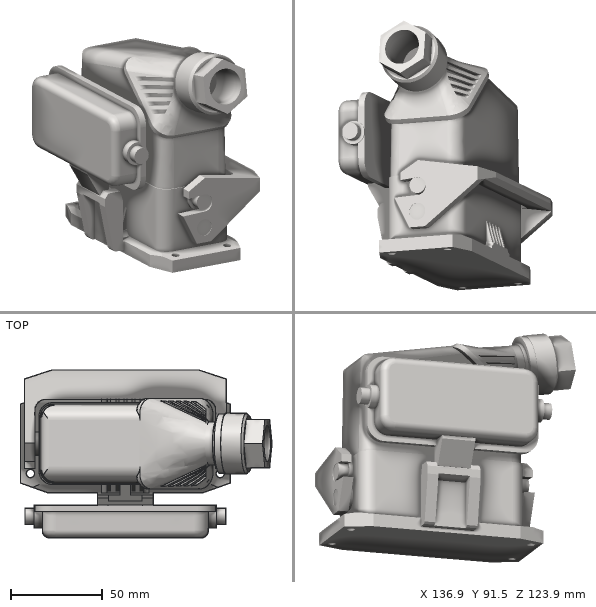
import cadquery as cq
import math


def side_prism(points, half_width):
    """Prism across X with an outline given as (Y, Z) points."""
    return cq.Workplane("YZ").polyline(points).close().extrude(half_width, both=True)


def front_prism(points, half_width):
    """Prism along Y with an outline given as (X, Z) points."""
    return cq.Workplane("XZ").polyline(points).close().extrude(half_width, both=True)


def box(x_range, y_range, z_range):
    (x0, x1), (y0, y1), (z0, z1) = x_range, y_range, z_range
    return cq.Workplane("XY").box(x1 - x0, y1 - y0, z1 - z0, centered=False).translate((x0, y0, z0))


def pin_across(radius, y, z, half_length):
    """Cylinder along X, centred on X = 0."""
    return cq.Workplane("YZ").center(y, z).circle(radius).extrude(half_length, both=True)


base_half_x = 57.1
base_half_y = 26.8
base_long_edge_half = 42.0
base_short_edge_half = 21.5
base_edge_z = 7.0
base_deck_z = 8.4
screw_x = 51.6
screw_y = 16.3
screw_radius = 2.2

housing_half_x = 47.0
housing_half_y = 22.3
housing_top_z = 44.1
corner_radius = 7.5


def base_plate():
    outline = [(base_half_x, base_short_edge_half), (base_long_edge_half, base_half_y)]
    outline += [(-x, y) for x, y in reversed(outline)]
    outline += [(-x, -y) for x, y in outline]
    plate = cq.Workplane("XY").polyline(outline).close().extrude(base_deck_z)

    def deck_profile(edge, shoulder):
        return [(-edge, 0), (edge, 0), (edge, base_edge_z), (shoulder, base_deck_z),
                (-shoulder, base_deck_z), (-edge, base_edge_z)]

    plate = plate.intersect(side_prism(deck_profile(base_half_y, housing_half_y), base_half_x))
    plate = plate.intersect(front_prism(deck_profile(base_half_x, housing_half_x), base_half_y))
    screws = [(sx * screw_x, sy * screw_y) for sx in (-1, 1) for sy in (-1, 1)]
    return plate.cut(cq.Workplane("XY").pushPoints(screws).circle(screw_radius).extrude(base_deck_z))


def housing():
    block = cq.Workplane("XY").rect(2 * housing_half_x, 2 * housing_half_y).extrude(housing_top_z)
    return block.edges("|Z").fillet(corner_radius)


pad_half_x = 13.0
pad_flare = 3.2
pad_edge_z = 10.7
pad_inner_z = 11.6
rib_count = 5
rib_pitch = 4.4
rib_thickness = 1.6
rib_foot_y = 25.9
rib_top_z = 23.8


def ribbed_pads():
    flat_half = pad_half_x - pad_flare
    flare_z = pad_inner_z - pad_flare
    hollow = pad_flare * (1 - math.sqrt(0.5))
    flared = (
        cq.Workplane("XZ").moveTo(-pad_half_x, 0).lineTo(-pad_half_x, flare_z)
        .threePointArc((-flat_half - hollow, flare_z + hollow), (-flat_half, pad_inner_z))
        .lineTo(flat_half, pad_inner_z)
        .threePointArc((flat_half + hollow, flare_z + hollow), (pad_half_x, flare_z))
        .lineTo(pad_half_x, 0).close().extrude(base_half_y, both=True)
    )
    roof = [(-base_half_y, 0), (base_half_y, 0), (base_half_y, pad_edge_z), (housing_half_y, pad_inner_z),
            (-housing_half_y, pad_inner_z), (-base_half_y, pad_edge_z)]
    pads = flared.intersect(side_prism(roof, pad_half_x))
    rib_outline = [(-rib_foot_y, base_edge_z), (rib_foot_y, base_edge_z), (rib_foot_y, pad_edge_z),
                   (housing_half_y, rib_top_z), (-housing_half_y, rib_top_z), (-rib_foot_y, pad_edge_z)]
    for i in range(rib_count):
        rib_x = (i - (rib_count - 1) / 2) * rib_pitch
        pads = pads.union(side_prism(rib_outline, rib_thickness / 2).translate((rib_x, 0, 0)))
    return pads


hood_half_x = 46.4
hood_half_y = 21.6
hood_draft = 1.0
cable_tilt = 10.0
roof_start_x = -41.1
roof_start_z = 100.4
roof_side_radius = 8.1
roof_end_radius = 4.9

flange_tilt = 40.5
flange_top_x = 8.0
flange_end_x = 47.8
flange_half_y = 24.7
flange_thickness = 2.9
flange_top_radius = 8.0
flange_foot_radius = 9.6

tilt_cos = math.cos(math.radians(cable_tilt))
tilt_sin = math.sin(math.radians(cable_tilt))
slant_cos = math.cos(math.radians(flange_tilt))
slant_sin = math.sin(math.radians(flange_tilt))
flange_top_z = roof_start_z + (flange_top_x - roof_start_x) * tilt_sin / tilt_cos
flange_end_z = flange_top_z - (flange_end_x - flange_top_x) * slant_sin / slant_cos
flange_length = (flange_end_x - flange_top_x) / slant_cos
flange_plane = cq.Plane(
    origin=((flange_top_x + flange_end_x) / 2, 0, (flange_top_z + flange_end_z) / 2),
    xDir=(slant_cos, 0, -slant_sin), normal=(slant_sin, 0, slant_cos))


def hood():
    draft = math.tan(math.radians(hood_draft))
    height = flange_top_z - housing_top_z
    plan = (
        cq.Workplane("XY").workplane(offset=housing_top_z)
        .sketch().rect(2 * hood_half_x, 2 * hood_half_y).vertices().fillet(corner_radius).finalize()
        .extrude(height, taper=hood_draft)
    )
    end_top_x = draft * (roof_start_z - housing_top_z) - hood_half_x
    end_top_z = roof_start_z + (end_top_x - roof_start_x) * tilt_sin / tilt_cos
    elevation = front_prism(
        [(-hood_half_x, housing_top_z), (end_top_x, end_top_z), (flange_top_x, flange_top_z),
         (flange_end_x, flange_end_z), (flange_end_x, housing_top_z)], hood_half_y)
    elevation = elevation.edges(cq.selectors.NearestToPointSelector((end_top_x, 0, end_top_z)))
    elevation = elevation.fillet(roof_end_radius)

    roof_half_y = hood_half_y - draft * (roof_start_z - housing_top_z)
    roof_plane = cq.Plane(
        origin=(roof_start_x, 0, roof_start_z), xDir=(0, 1, 0), normal=(tilt_cos, 0, tilt_sin))
    depth = 2 * height
    foot_half_y = roof_half_y + draft * depth
    section = (
        cq.Workplane(roof_plane)
        .polyline([(-roof_half_y, 0), (roof_half_y, 0), (foot_half_y, -depth), (-foot_half_y, -depth)])
        .close()
        .extrude(2 * hood_half_x, both=True)
    )
    lengthwise = cq.selectors.ParallelDirSelector(roof_plane.zDir)
    section = section.edges(lengthwise).edges(">Z").fillet(roof_side_radius)
    return plan.intersect(elevation).intersect(section)


entry_x = 77.2
entry_z = 108.9
hex_corner_radius = 15.2
hex_length = 10.3
nut_radius = 16.6
nut_rim_radius = 16.2
nut_rim_start = 22.9
nut_end = 26.5
nut_chamfer = 1.4
collar_radius = 12.6
collar_end = 28.1
neck_radius = 11.8
neck_end = 32.2
bore_radius = 9.9
bore_depth = nut_end


def entry_plane(distance):
    return cq.Plane(origin=(entry_x - distance * tilt_cos, 0, entry_z - distance * tilt_sin),
                    xDir=(tilt_sin, 0, -tilt_cos), normal=(tilt_cos, 0, tilt_sin))


def cable_gland():
    hexagon = cq.Workplane(entry_plane(0)).polygon(6, 2 * hex_corner_radius).extrude(-hex_length)
    nut = cq.Workplane(entry_plane(nut_rim_start)).circle(nut_radius).extrude(nut_rim_start - hex_length)
    nut = nut.faces(cq.selectors.DirectionMinMaxSelector(cq.Vector(tilt_cos, 0, tilt_sin)))
    nut = nut.chamfer(nut_chamfer)
    nut_rim = cq.Workplane(entry_plane(nut_end)).circle(nut_rim_radius).extrude(nut_end - nut_rim_start)
    collar = cq.Workplane(entry_plane(collar_end)).circle(collar_radius).extrude(collar_end - nut_end)
    neck = cq.Workplane(entry_plane(neck_end)).circle(neck_radius).extrude(neck_end - nut_end)
    bore = cq.Workplane(entry_plane(0)).circle(bore_radius).extrude(-bore_depth)
    return hexagon.union(nut).union(nut_rim).union(collar).union(neck).cut(bore)


neck_bottom_angle = 45
neck_side_start = 60
neck_side_end = 105
neck_top_angle = 118
core_neck_radius = 10.0
pocket_depth = 4.1
pocket_end_x = 44.0
pocket_margin = 2.2
pocket_rows = 5
pocket_pitch = 4.2
pocket_height = 2.3
first_pocket_height = 3.4


def flange_outline(inset):
    """Rounded outline on the flange plane, starting along its lower end."""
    half_x = flange_length / 2 - inset
    half_y = flange_half_y - inset
    foot, top = flange_foot_radius, flange_top_radius
    foot_bend = foot * (1 - math.sqrt(0.5))
    top_bend = top * (1 - math.sqrt(0.5))
    return (
        cq.Workplane(flange_plane).moveTo(half_x, foot - half_y)
        .lineTo(half_x, half_y - foot)
        .threePointArc((half_x - foot_bend, half_y - foot_bend), (half_x - foot, half_y))
        .lineTo(top - half_x, half_y)
        .threePointArc((top_bend - half_x, half_y - top_bend), (-half_x, half_y - top))
        .lineTo(-half_x, top - half_y)
        .threePointArc((top_bend - half_x, top_bend - half_y), (top - half_x, -half_y))
        .lineTo(half_x - foot, -half_y)
        .threePointArc((half_x - foot_bend, foot_bend - half_y), (half_x, foot - half_y))
        .close()
    )


def neck_outline(radius):
    """Circle at the neck, split into eight arcs that pair with the sides and corners of the flange."""
    def point(angle):
        return radius * math.cos(math.radians(angle)), radius * math.sin(math.radians(angle))

    one_side = [neck_bottom_angle, neck_side_start, neck_side_end, neck_top_angle]
    angles = one_side + [360 - angle for angle in reversed(one_side)]
    last = -neck_bottom_angle
    outline = cq.Workplane(entry_plane(neck_end)).moveTo(*point(last))
    for angle in angles:
        outline = outline.threePointArc(point((last + angle) / 2), point(angle))
        last = angle
    return outline.close()


def funnel_solid(inset, end_radius):
    wide = flange_outline(inset).wire().val()
    narrow = neck_outline(end_radius).wire().val()
    return cq.Workplane("XY").newObject([cq.Solid.makeLoft([wide, narrow], True)])


def flange_and_funnel():
    flange = flange_outline(0).extrude(-flange_thickness)
    funnel = funnel_solid(0, neck_radius)
    core = funnel_solid(pocket_depth, core_neck_radius)
    reach = 2 * flange_length
    pocket_zone = (
        cq.Workplane(flange_plane).workplane(offset=pocket_margin).rect(reach, reach).extrude(reach)
        .intersect(box((-base_half_x, pocket_end_x), (-reach, reach), (0, 3 * reach)))
    )
    pocket_zone = pocket_zone.cut(core)
    for i in range(pocket_rows):
        drop = pocket_height / 2 - first_pocket_height + i * pocket_pitch
        slab = cq.Workplane(entry_plane(neck_end)).center(drop, 0).rect(pocket_height, reach)
        funnel = funnel.cut(slab.extrude(reach, both=True).intersect(pocket_zone))
    return flange.union(funnel)


lever_half_x = 54.9
lever_inner_half_x = 49.2
lever_back_y = 40.1
lever_nose_half_x = 39.9
lever_nose_y = 35.2
lever_opening_y = 24.1
lever_opening_radius = 6.0
lever_bridge_drop = 5.8
lever_peak = (0.4, 50.1)
lever_hook_tip_top = (-9.9, 44.0)
lever_hook_tip_bottom = (-9.9, 39.7)
lever_jaw = (-13.4, 30.3)
lever_foot_front = (-4.8, 13.1)
lever_foot_back = (4.4, 13.1)
lever_back_top_z = 43.3
lever_back_bottom_z = 40.4
hook_z = 35.7
hook_radius = 4.9
pivot_z = 21.8
latch_z = 36.5
stud_radius = 4.7
stud_collar_radius = 6.5
stud_half_length = 54.6


def locking_lever():
    cheek = (
        cq.Workplane("YZ").moveTo(lever_back_y, lever_back_bottom_z)
        .lineTo(lever_back_y, lever_back_top_z).lineTo(*lever_peak)
        .lineTo(*lever_hook_tip_top).lineTo(*lever_hook_tip_bottom).lineTo(0, hook_z + hook_radius)
        .threePointArc((hook_radius, hook_z), (0, hook_z - hook_radius))
        .lineTo(*lever_jaw).lineTo(*lever_foot_front).lineTo(*lever_foot_back).close()
        .extrude(lever_half_x, both=True)
    )
    cheek = cheek.cut(box((-lever_inner_half_x, lever_inner_half_x), (-lever_back_y, lever_back_y),
                          (0, 2 * housing_top_z)))
    cheek = cheek.cut(pin_across(stud_radius, 0, pivot_z, lever_half_x))
    peak_y, peak_z = lever_peak
    bridge = side_prism(
        [(lever_back_y, lever_back_top_z), lever_peak, (peak_y, peak_z - lever_bridge_drop),
         (lever_back_y, lever_back_top_z - lever_bridge_drop)], lever_half_x)
    foot_y, foot_z = lever_foot_back
    underside = side_prism(
        [(lever_back_y, lever_back_bottom_z), (foot_y, foot_z), (lever_back_y, foot_z)], lever_half_x)
    bridge = bridge.cut(underside)
    opening = (
        cq.Workplane("XY").rect(2 * lever_inner_half_x, 2 * lever_opening_y).extrude(2 * housing_top_z)
        .edges("|Z").fillet(lever_opening_radius)
    )
    bridge = bridge.cut(opening)
    plan = cq.Workplane("XY").polyline(
        [(-lever_half_x, -lever_back_y), (lever_half_x, -lever_back_y), (lever_half_x, lever_nose_y),
         (lever_nose_half_x, lever_back_y), (-lever_nose_half_x, lever_back_y), (-lever_half_x, lever_nose_y)]
    ).close().extrude(2 * housing_top_z)
    return cheek.union(bridge).intersect(plan)


def lever_studs():
    studs = pin_across(stud_collar_radius, 0, pivot_z, lever_inner_half_x)
    studs = studs.union(pin_across(stud_radius, 0, pivot_z, stud_half_length))
    studs = studs.union(pin_across(stud_collar_radius, 0, latch_z, lever_inner_half_x))
    return studs.union(pin_across(stud_radius, 0, latch_z, stud_half_length))


cover_back_y = -33.4
cover_rim_y = -37.0
cover_front_y = -51.4
cover_center_z = 69.3
cover_rim_half_x = 49.0
cover_rim_half_z = 23.7
cover_rim_radius = 9.5
cover_half_x = 45.2
cover_half_z = 20.4
cover_edge_radius = 4.0
cover_stud_y = -39.6
cover_stud_radius = 4.5
cover_collar_half_x = 49.6


def cover():
    def slab(half_x, half_z, radius, y_back, y_front):
        plate = box((-half_x, half_x), (y_front, y_back), (cover_center_z - half_z, cover_center_z + half_z))
        return plate.edges("|Y").fillet(radius)

    rim = slab(cover_rim_half_x, cover_rim_half_z, cover_rim_radius, cover_back_y, cover_rim_y)
    lid = slab(cover_half_x, cover_half_z, corner_radius, cover_back_y, cover_front_y)
    lid = lid.faces("<Y").edges().fillet(cover_edge_radius)
    collar = pin_across(stud_collar_radius, cover_stud_y, cover_center_z, cover_collar_half_x)
    collar = collar.intersect(box((-lever_half_x, lever_half_x), (cover_front_y, cover_back_y),
                                  (0, 2 * cover_center_z)))
    stud = pin_across(cover_stud_radius, cover_stud_y, cover_center_z, stud_half_length)
    return rim.union(lid).union(collar).union(stud)


hinge_half_x = 15.2
hinge_recess_half_x = 9.0
hinge_back_y = -28.1
hinge_recess_y = -31.2
hinge_bottom_z = 2.0
hinge_top_z = 36.2
hinge_stem_half_x = 2.9
hinge_stem_z = 30.8
hinge_outline = [
    (hinge_back_y, hinge_stem_z), (-29.7, hinge_top_z), (-37.1, hinge_top_z),
    (-39.3, 33.3), (-39.3, 28.8), (-34.0, 3.2), (-32.9, hinge_bottom_z)]
recess_roof_back_z = 27.7
recess_roof_front_z = 29.6
recess_roof_front_y = -40.0
arm_half_x = 9.5
arm_front_y = -47.1
arm_shoulder_z = 47.1
arm_tip_y = -39.3
arm_tip_z = 33.7


def hinge():
    seat = [(-base_half_y, hinge_bottom_z), (-base_half_y, base_edge_z), (hinge_back_y, base_edge_z)]
    bracket = side_prism(seat + hinge_outline, hinge_half_x)
    recess = side_prism(
        [(hinge_recess_y, 0), (hinge_recess_y, recess_roof_back_z),
         (recess_roof_front_y, recess_roof_front_z), (recess_roof_front_y, 0)], hinge_recess_half_x)
    notch = box((-hinge_recess_half_x, hinge_recess_half_x), (hinge_recess_y, -base_half_y),
                (hinge_stem_z, hinge_top_z))
    stem = box((-hinge_stem_half_x, hinge_stem_half_x), (hinge_back_y, -housing_half_y),
               (base_edge_z, hinge_stem_z))
    arm_root_z = cover_center_z - cover_half_z
    arm = side_prism(
        [(cover_back_y, arm_root_z), (arm_front_y, arm_root_z), (arm_front_y, arm_shoulder_z),
         (arm_tip_y, arm_tip_z), (cover_back_y, arm_tip_z)], arm_half_x)
    return bracket.cut(recess).cut(notch).union(stem).union(arm)


result = base_plate().union(housing()).union(ribbed_pads()).union(hood())
result = result.union(flange_and_funnel()).union(cable_gland())
result = result.union(lever_studs()).union(locking_lever())
result = result.union(hinge()).union(cover())